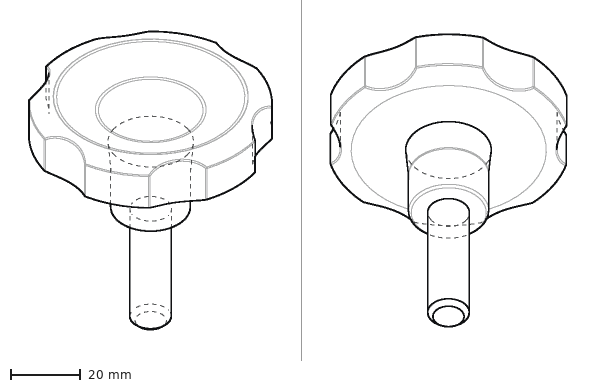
import cadquery as cq
import math

stud_length = 40.0
stud_diameter = 12.0
stud_tip_chamfer = 1.5

hub_diameter = 23.0
hub_height = 14.3
hub_edge_round = 0.7
neck_top_diameter = 24.6
neck_blend_height = 0.5

head_radius = 35.0
head_thickness = 16.0
head_bottom = 24.0
head_top = head_bottom + head_thickness
crown_radius = 28.05
top_shoulder_drop = 2.5
bottom_shoulder_rise = 2.0

dish_rim_radius = 27.5
dish_floor_radius = 15.5
dish_depth = 4.8
dish_edge_blend = 2.4

scallop_count = 6
scallop_radius = 14.0
scallop_depth = 3.8
scallop_first_angle = 30.0
lobe_edge_round = 0.5


def shoulder_mid_point(drop):
    """Radius and depth halfway along an arc that leaves the flat face tangentially."""
    width = head_radius - crown_radius
    arc_radius = (width**2 + drop**2) / (2 * drop)
    half_angle = math.asin(width / arc_radius) / 2
    return (
        crown_radius + arc_radius * math.sin(half_angle),
        arc_radius * (1 - math.cos(half_angle)),
    )


def make_head():
    top_mid_radius, top_mid_drop = shoulder_mid_point(top_shoulder_drop)
    bottom_mid_radius, bottom_mid_rise = shoulder_mid_point(bottom_shoulder_rise)
    head = (
        cq.Workplane("XZ")
        .moveTo(0, head_bottom)
        .lineTo(crown_radius, head_bottom)
        .threePointArc(
            (bottom_mid_radius, head_bottom + bottom_mid_rise),
            (head_radius, head_bottom + bottom_shoulder_rise),
        )
        .lineTo(head_radius, head_top - top_shoulder_drop)
        .threePointArc((top_mid_radius, head_top - top_mid_drop), (crown_radius, head_top))
        .lineTo(0, head_top)
        .close()
        .revolve(360, (0, 0, 0), (0, 1, 0))
    )
    scallops = (
        cq.Workplane("XY", origin=(0, 0, head_bottom))
        .polarArray(
            head_radius - scallop_depth + scallop_radius, scallop_first_angle, 360, scallop_count
        )
        .circle(scallop_radius)
        .extrude(head_thickness)
    )
    head = head.cut(scallops)
    scallop_edges = head.faces("%CYLINDER").edges()
    return scallop_edges.fillet(lobe_edge_round)


def make_dish():
    """Conical recess with a flat floor."""
    floor = head_top - dish_depth
    return (
        cq.Workplane("XZ")
        .moveTo(0, floor)
        .lineTo(dish_floor_radius, floor)
        .lineTo(dish_rim_radius, head_top)
        .lineTo(0, head_top)
        .close()
        .revolve(360, (0, 0, 0), (0, 1, 0))
    )


def round_circle(body, circle_radius, height, round_radius):
    """Round the circular edge of the given radius centred on the Z axis at a height."""
    tolerance = 0.01
    level = cq.selectors.BoxSelector(
        (-circle_radius - tolerance, -circle_radius - tolerance, height - tolerance),
        (circle_radius + tolerance, circle_radius + tolerance, height + tolerance),
        boundingbox=True,
    )
    return body.edges(level).edges(cq.selectors.RadiusNthSelector(-1)).fillet(round_radius)


def make_shank():
    """Stud, hub and flared neck turned as one profile, with the lower hub edge rounded."""
    hub_radius = hub_diameter / 2
    stud_radius = stud_diameter / 2
    neck_radius = neck_top_diameter / 2
    flare_start = hub_height + neck_blend_height
    flare_slope = (neck_radius - hub_radius) / (head_bottom - hub_height - neck_blend_height / 2)
    flare_start_radius = hub_radius + flare_slope * neck_blend_height / 2
    shank = (
        cq.Workplane("XZ")
        .moveTo(0, -stud_length)
        .lineTo(stud_radius - stud_tip_chamfer, -stud_length)
        .lineTo(stud_radius, -stud_length + stud_tip_chamfer)
        .lineTo(stud_radius, 0)
        .lineTo(hub_radius, 0)
        .lineTo(hub_radius, hub_height)
        .tangentArcPoint((flare_start_radius, flare_start), relative=False)
        .lineTo(neck_radius, head_bottom)
        .lineTo(0, head_bottom)
        .close()
        .revolve(360, (0, 0, 0), (0, 1, 0))
    )
    return round_circle(shank, hub_radius, 0, hub_edge_round)


knob = make_head().cut(make_dish())
knob = round_circle(knob, dish_rim_radius, head_top, dish_edge_blend)
knob = round_circle(knob, dish_floor_radius, head_top - dish_depth, dish_edge_blend)
result = knob.union(make_shank())